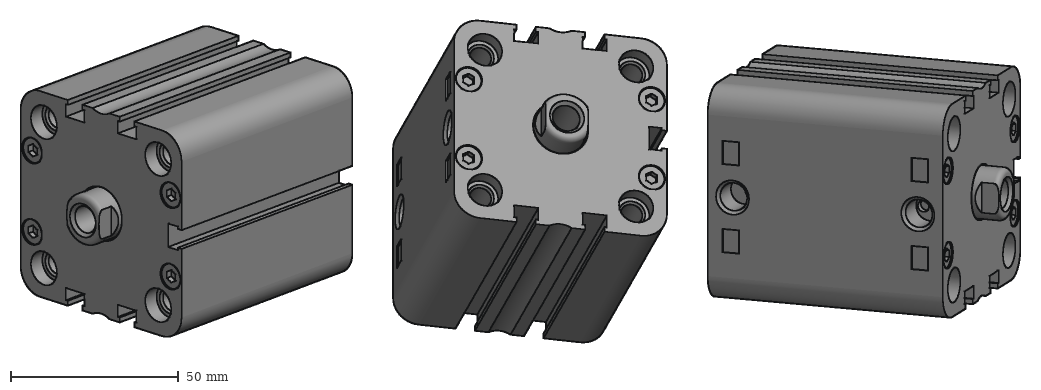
import cadquery as cq
import math


WIDTH = 65.5
HALF_WIDTH = WIDTH / 2
TOTAL_LENGTH = 83.0
ROD_PROTRUSION = 8.0
HOUSING_LENGTH = TOTAL_LENGTH - ROD_PROTRUSION
CORNER_RADIUS = 8.0

SLOT_OFFSET = 10.5
SLOT_MOUTH_WIDTH = 6.0
SLOT_INNER_WIDTH = 7.5
SLOT_DEPTH = 5.5
SLOT_LIP = 1.6

VALLEY_WIDTH = 6.8
VALLEY_DEPTH = 0.9

MOUNT_OFFSET = 23.2
MOUNT_BORE = 6.6
MOUNT_COUNTERBORE = 10.5
MOUNT_COUNTERBORE_DEPTH = 5.0
MOUNT_COUNTERSINK = 8.05

SCREW_X = 28.1
SCREW_Z = 12.95
SCREW_HEAD = 8.05
SCREW_HEAD_FACE = 7.7
SCREW_SINK = 0.4
SOCKET_FLATS = 3.5
SOCKET_DEPTH = 2.0

PORT_INSET = 8.0
PORT_BORE = 8.55
PORT_MOUTH = 10.5
PORT_DEPTH = 10.0
PASSAGE_BORE = 3.5
PASSAGE_INSET = 10.0
FRONT_PASSAGE_DEPTH = 12.45
REAR_PASSAGE_DEPTH = HALF_WIDTH

LABEL_LENGTH = 5.2
LABEL_HEIGHT = 7.1
LABEL_DEPTH = 0.5
LABEL_INSET = 7.4
LABEL_Z = 13.5

ROD_DIAMETER = 16.0
ROD_BORE = 16.5
ROD_BORE_MOUTH = 17.0
ROD_BORE_DEPTH = 69.7
ROD_TIP_FILLET = 1.7

ROD_FLATS = 13.0
ROD_FLAT_LENGTH = 5.5

THREAD_BORE = 8.4
THREAD_MOUTH = 10.5
THREAD_DEPTH = 16.6
THREAD_TIP = 3.5
THREAD_TIP_LENGTH = 1.5

Y_AXIS = cq.Vector(0, 1, 0)
X_AXIS = cq.Vector(1, 0, 0)


def cylinder(diameter, length, start, axis=Y_AXIS):
    return cq.Workplane(cq.Solid.makeCylinder(diameter / 2, length, cq.Vector(*start), axis))


def cone(start_diameter, end_diameter, length, start, axis=Y_AXIS):
    return cq.Workplane(
        cq.Solid.makeCone(start_diameter / 2, end_diameter / 2, length, cq.Vector(*start), axis)
    )


def countersink(mouth, bore, start, axis=Y_AXIS):
    """45-degree cone narrowing from the mouth diameter to the bore diameter."""
    return cone(mouth, bore, (mouth - bore) / 2, start, axis)


def turned(shape, angle):
    """Turn a shape about the cylinder axis."""
    return shape.rotate((0, 0, 0), (0, 1, 0), angle)



def t_slot(offset):
    """Full-length T-slot in the top face."""
    floor_z = HALF_WIDTH - SLOT_DEPTH
    placement = (True, False, False)
    mouth = cq.Workplane("XY").box(SLOT_MOUTH_WIDTH, HOUSING_LENGTH, SLOT_DEPTH, centered=placement)
    inner = cq.Workplane("XY").box(
        SLOT_INNER_WIDTH, HOUSING_LENGTH, SLOT_DEPTH - SLOT_LIP, centered=placement
    )
    return mouth.union(inner).translate((offset, 0, floor_z))


def valley():
    """Full-length round valley in the middle of the top face."""
    radius = ((VALLEY_WIDTH / 2) ** 2 + VALLEY_DEPTH**2) / (2 * VALLEY_DEPTH)
    centre_z = HALF_WIDTH - VALLEY_DEPTH + radius
    return cylinder(2 * radius, HOUSING_LENGTH, (0, 0, centre_z))


def mount_hole(x, z):
    bore = cylinder(MOUNT_BORE, HOUSING_LENGTH, (x, 0, z))
    counterbore = cylinder(MOUNT_COUNTERBORE, MOUNT_COUNTERBORE_DEPTH, (x, 0, z))
    sink = countersink(MOUNT_COUNTERSINK, MOUNT_BORE, (x, MOUNT_COUNTERBORE_DEPTH, z))
    return bore.union(counterbore).union(sink)


def screw_recess(x, z):
    """Space around a sunk screw head with a chamfered edge and a hexagon socket."""
    edge = (SCREW_HEAD - SCREW_HEAD_FACE) / 2
    head_edge = cone(SCREW_HEAD_FACE, SCREW_HEAD, edge, (x, SCREW_SINK, z))
    recess = cylinder(SCREW_HEAD, SCREW_SINK + edge, (x, 0, z)).cut(head_edge)
    socket = (
        cq.Workplane("XZ")
        .polygon(6, SOCKET_FLATS / math.cos(math.pi / 6))
        .extrude(-(SCREW_SINK + SOCKET_DEPTH))
    )
    corners_up = turned(socket, 90).translate((x, 0, z))
    return recess.union(corners_up)


def port(port_y, passage_y, passage_depth):
    mouth_centre = (-HALF_WIDTH, port_y, 0)
    bore = cylinder(PORT_BORE, PORT_DEPTH, mouth_centre, X_AXIS)
    sink = countersink(PORT_MOUTH, PORT_BORE, mouth_centre, X_AXIS)
    passage = cylinder(PASSAGE_BORE, passage_depth, (-HALF_WIDTH, passage_y, 0), X_AXIS)
    return bore.union(sink).union(passage)


def label_recess(y, z):
    recess = cq.Workplane("XY").box(
        LABEL_DEPTH, LABEL_LENGTH, LABEL_HEIGHT, centered=(False, True, True)
    )
    return recess.translate((-HALF_WIDTH, y, z))


def rod_bore():
    bore = cylinder(ROD_BORE, ROD_BORE_DEPTH, (0, 0, 0))
    return bore.union(countersink(ROD_BORE_MOUTH, ROD_BORE, (0, 0, 0)))



def make_housing():
    body = (
        cq.Workplane("XY")
        .box(WIDTH, HOUSING_LENGTH, WIDTH, centered=(True, False, True))
        .edges("|Y")
        .fillet(CORNER_RADIUS)
    )
    for angle in (0, 180):
        body = body.cut(turned(valley(), angle))
        for offset in (-SLOT_OFFSET, SLOT_OFFSET):
            body = body.cut(turned(t_slot(offset), angle))
    body = body.cut(turned(t_slot(0), 90))

    for side_x in (-1, 1):
        for side_z in (-1, 1):
            body = body.cut(mount_hole(side_x * MOUNT_OFFSET, side_z * MOUNT_OFFSET))
            body = body.cut(screw_recess(side_x * SCREW_X, side_z * SCREW_Z))

    body = body.cut(port(PORT_INSET, PASSAGE_INSET, FRONT_PASSAGE_DEPTH))
    body = body.cut(
        port(HOUSING_LENGTH - PORT_INSET, HOUSING_LENGTH - PASSAGE_INSET, REAR_PASSAGE_DEPTH)
    )
    for y in (LABEL_INSET, HOUSING_LENGTH - LABEL_INSET):
        for z in (-LABEL_Z, LABEL_Z):
            body = body.cut(label_recess(y, z))
    return body.cut(rod_bore())



def wrench_flat():
    """Cutter for the flat on the +X side of the rod tip."""
    flat_x = ROD_FLATS / 2
    outer_x = ROD_DIAMETER / 2
    tip_y = -ROD_PROTRUSION
    flat_end_y = tip_y + ROD_FLAT_LENGTH
    runout_end_y = flat_end_y + outer_x - flat_x
    return (
        cq.Workplane("XY")
        .polyline([(flat_x, tip_y), (flat_x, flat_end_y), (outer_x, runout_end_y), (outer_x, tip_y)])
        .close()
        .extrude(ROD_DIAMETER / 2, both=True)
    )


def threaded_hole():
    tip = (0, -ROD_PROTRUSION, 0)
    bottom = (0, THREAD_DEPTH - ROD_PROTRUSION, 0)
    bore = cylinder(THREAD_BORE, THREAD_DEPTH, tip)
    mouth = countersink(THREAD_MOUTH, THREAD_BORE, tip)
    drill_cone = cone(THREAD_BORE, THREAD_TIP, THREAD_TIP_LENGTH, bottom)
    return bore.union(mouth).union(drill_cone)


def make_rod():
    body = cylinder(ROD_DIAMETER, ROD_PROTRUSION + ROD_BORE_DEPTH, (0, -ROD_PROTRUSION, 0))
    body = body.faces("<Y").edges().fillet(ROD_TIP_FILLET)
    for angle in (0, 180):
        body = body.cut(turned(wrench_flat(), angle))
    return body.cut(threaded_hole())


housing = make_housing().solids()
rod = make_rod().solids()

result = cq.Compound.makeCompound([housing.val(), rod.val()])